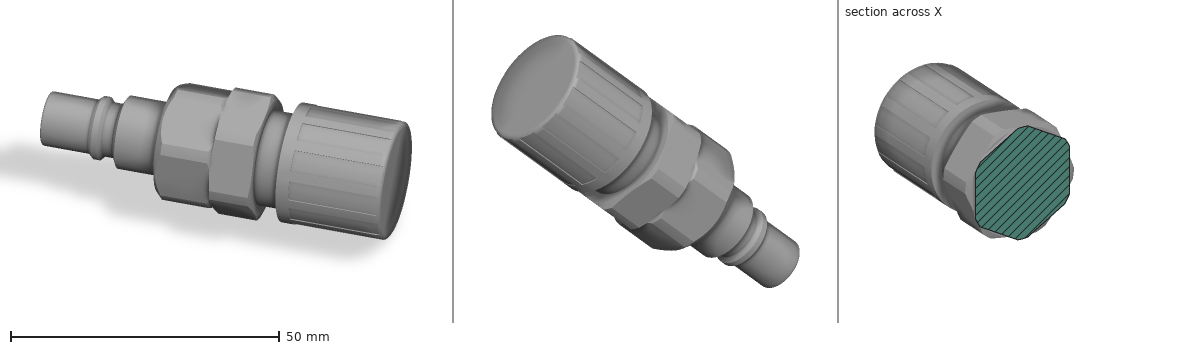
import cadquery as cq
import math


FULL_TURN = 360.0

TIP_DIA = 10.3
TIP_FILLET = 0.5
RING_DIA = 12.0
RING_START = 9.25
RING_TOP_START = 10.15
RING_TOP_END = 11.3
RING_END = 12.05

SHOULDER_DIA = 13.9
SHOULDER_START = 14.0
SHOULDER_CHAMFER_LENGTH = 1.0
SHOULDER_FILLET = 1.0

HEX_SIDES = 6
HEX_PITCH_ANGLE = FULL_TURN / HEX_SIDES

FRONT_HEX_START = 23.5
FRONT_HEX_FLATS = 21.0
FRONT_HEX_CORNER_DIA = 23.08
FRONT_HEX_FACE_DIA = 20.1
FRONT_HEX_REAR_CHAMFER = 0.5
FRONT_HEX_CORNER_ANGLE = 30.0

REAR_HEX_START = 34.5
REAR_HEX_END = 42.7
REAR_HEX_FLATS = 22.0
REAR_HEX_CORNER_DIA = 24.2
REAR_HEX_CHAMFER_LENGTH = 0.35
REAR_HEX_CORNER_ANGLE = 7.2

NECK_DIA = 18.0
NUT_START = 47.55
NUT_END = 67.7
NUT_DIA = 22.7
NUT_FILLET = 1.0

SLOT_COUNT = 12
SLOT_START = 50.0
SLOT_DEPTH = 0.2
SLOT_SPAN_ANGLE = 20.0
SLOT_FIRST_ANGLE = 18.8
SLOT_CLEARANCE = 1.0


def revolve_about_x(outline):
    """Revolve a closed outline of the XY plane, given as (station, radius), about the X axis."""
    return outline.close().revolve(FULL_TURN, (0, 0, 0), (1, 0, 0))


def plug_nose():
    """Tip, locking ring and shoulder, flaring with a fillet into the front hexagon."""
    tip_radius = TIP_DIA / 2
    ring_radius = RING_DIA / 2
    shoulder_radius = SHOULDER_DIA / 2
    bend = math.sqrt(0.5)
    outline = (
        cq.Workplane("XY")
        .lineTo(0, tip_radius - TIP_FILLET)
        .threePointArc(
            (TIP_FILLET * (1 - bend), tip_radius - TIP_FILLET * (1 - bend)),
            (TIP_FILLET, tip_radius),
        )
        .lineTo(RING_START, tip_radius)
        .lineTo(RING_TOP_START, ring_radius)
        .lineTo(RING_TOP_END, ring_radius)
        .lineTo(RING_END, tip_radius)
        .lineTo(SHOULDER_START, tip_radius)
        .lineTo(SHOULDER_START + SHOULDER_CHAMFER_LENGTH, shoulder_radius)
        .lineTo(FRONT_HEX_START - SHOULDER_FILLET, shoulder_radius)
        .threePointArc(
            (
                FRONT_HEX_START - SHOULDER_FILLET * (1 - bend),
                shoulder_radius + SHOULDER_FILLET * (1 - bend),
            ),
            (FRONT_HEX_START, shoulder_radius + SHOULDER_FILLET),
        )
        .lineTo(FRONT_HEX_START, 0)
    )
    return revolve_about_x(outline)


def polar(radius, angle):
    """Point of the YZ plane at an angle in degrees from +Y towards +Z."""
    return (radius * math.cos(math.radians(angle)), radius * math.sin(math.radians(angle)))


def hex_prism(start, end, across_flats, corner_angle):
    """Sharp hexagonal prism along X with one corner at the given angle from +Y towards +Z."""
    sharp_radius = across_flats / 2 / math.cos(math.radians(HEX_PITCH_ANGLE / 2))
    corners = [polar(sharp_radius, corner_angle + index * HEX_PITCH_ANGLE) for index in range(HEX_SIDES)]
    return cq.Workplane("YZ", origin=(start, 0, 0)).polyline(corners).close().extrude(end - start)


def chamfered_bar(start, end, radius, start_radius, start_length, end_radius, end_length):
    """Round bar with a cone at each end; trims the corners and ends of a hexagon."""
    outline = (
        cq.Workplane("XY")
        .moveTo(start, 0)
        .lineTo(start, start_radius)
        .lineTo(start + start_length, radius)
        .lineTo(end - end_length, radius)
        .lineTo(end, end_radius)
        .lineTo(end, 0)
    )
    return revolve_about_x(outline)


def front_hex():
    """Front hexagon with a wide front chamfer and a small rear chamfer, both at 45 degrees."""
    corner_radius = FRONT_HEX_CORNER_DIA / 2
    face_radius = FRONT_HEX_FACE_DIA / 2
    envelope = chamfered_bar(
        FRONT_HEX_START,
        REAR_HEX_START,
        corner_radius,
        face_radius,
        corner_radius - face_radius,
        corner_radius - FRONT_HEX_REAR_CHAMFER,
        FRONT_HEX_REAR_CHAMFER,
    )
    prism = hex_prism(FRONT_HEX_START, REAR_HEX_START, FRONT_HEX_FLATS, FRONT_HEX_CORNER_ANGLE)
    return prism.intersect(envelope)


def rear_hex():
    """Rear hexagon whose end chamfers run down to the circle touching its flats."""
    flat_radius = REAR_HEX_FLATS / 2
    envelope = chamfered_bar(
        REAR_HEX_START,
        REAR_HEX_END,
        REAR_HEX_CORNER_DIA / 2,
        flat_radius,
        REAR_HEX_CHAMFER_LENGTH,
        flat_radius,
        REAR_HEX_CHAMFER_LENGTH,
    )
    prism = hex_prism(REAR_HEX_START, REAR_HEX_END, REAR_HEX_FLATS, REAR_HEX_CORNER_ANGLE)
    return prism.intersect(envelope)


def neck():
    """Plain cylinder joining the rear hexagon to the grip nut."""
    return (
        cq.Workplane("YZ", origin=(REAR_HEX_END, 0, 0))
        .circle(NECK_DIA / 2)
        .extrude(NUT_START - REAR_HEX_END)
    )


def slot_cutter(angle):
    """Ring sector with radial side walls that cuts one grip slot, open at the end of the nut."""
    floor_radius = NUT_DIA / 2 - SLOT_DEPTH
    outer_radius = NUT_DIA / 2 + SLOT_CLEARANCE
    first_side = angle - SLOT_SPAN_ANGLE / 2
    second_side = angle + SLOT_SPAN_ANGLE / 2
    return (
        cq.Workplane("YZ", origin=(SLOT_START, 0, 0))
        .moveTo(*polar(floor_radius, first_side))
        .threePointArc(polar(floor_radius, angle), polar(floor_radius, second_side))
        .lineTo(*polar(outer_radius, second_side))
        .threePointArc(polar(outer_radius, angle), polar(outer_radius, first_side))
        .close()
        .extrude(NUT_END - SLOT_START + SLOT_CLEARANCE)
    )


def grip_nut():
    """Round nut with a rounded end and evenly spaced shallow grip slots."""
    nut = (
        cq.Workplane("YZ", origin=(NUT_START, 0, 0))
        .circle(NUT_DIA / 2)
        .extrude(NUT_END - NUT_START)
        .faces(">X")
        .edges()
        .fillet(NUT_FILLET)
    )
    for index in range(SLOT_COUNT):
        nut = nut.cut(slot_cutter(SLOT_FIRST_ANGLE + index * FULL_TURN / SLOT_COUNT))
    return nut


result = plug_nose().union(front_hex()).union(rear_hex()).union(neck()).union(grip_nut())